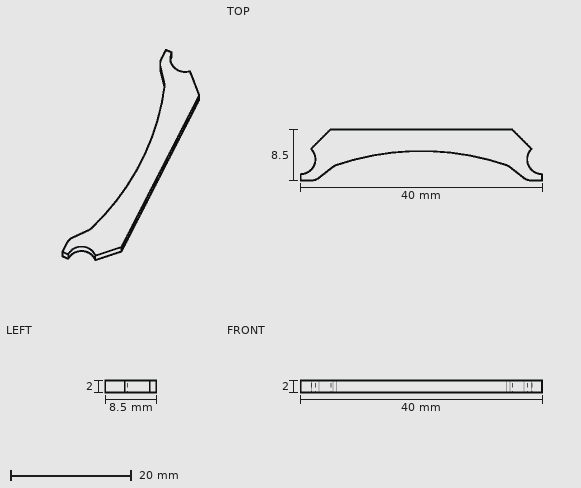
import cadquery as cq
import math

length = 40.0
depth = 8.5
thickness = 2.0

notch_radius = 2.45
foot_height = 1.1

arch_rise = 4.9
arch_radius = 43.8
arch_half_span = 14.4
foot_length = 2.5
corner_radius = 2.0

half_length = length / 2
notch_center_y = foot_height + notch_radius
shoulder_x = half_length - (depth - notch_center_y)
foot_inner_x = half_length - foot_length
arch_end_y = arch_rise - arch_radius + math.sqrt(arch_radius**2 - arch_half_span**2)


def make_plate():
    """Extrude the sharp-cornered outline, before notches and rounding."""
    outline = (
        cq.Workplane("XY")
        .moveTo(-half_length, 0)
        .lineTo(-foot_inner_x, 0)
        .lineTo(-arch_half_span, arch_end_y)
        .threePointArc((0, arch_rise), (arch_half_span, arch_end_y))
        .lineTo(foot_inner_x, 0)
        .lineTo(half_length, 0)
        .lineTo(half_length, notch_center_y)
        .lineTo(shoulder_x, depth)
        .lineTo(-shoulder_x, depth)
        .lineTo(-half_length, notch_center_y)
        .close()
    )
    return outline.extrude(thickness)


def round_corner(body, x, y):
    """Round the upright edge nearest to the point (x, y)."""
    nearest = cq.selectors.NearestToPointSelector((x, y, thickness / 2))
    return body.edges("|Z").edges(nearest).fillet(corner_radius)


result = make_plate()

for side in (-1, 1):
    result = round_corner(result, side * foot_inner_x, 0)
    result = round_corner(result, side * arch_half_span, arch_end_y)

notches = (
    cq.Workplane("XY")
    .pushPoints([(-half_length, notch_center_y), (half_length, notch_center_y)])
    .circle(notch_radius)
    .extrude(thickness)
)
result = result.cut(notches)